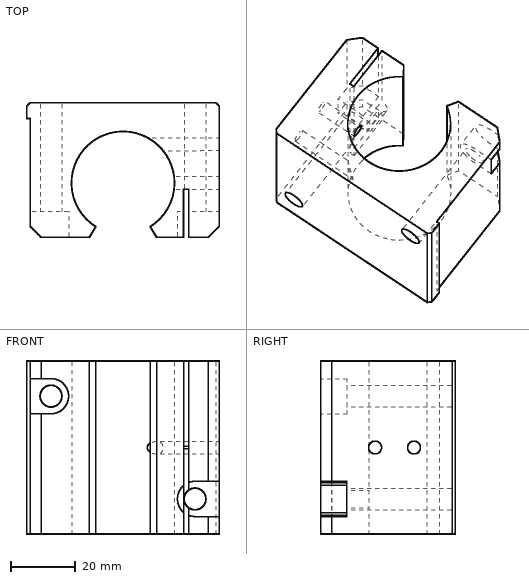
import cadquery as cq

width = 60.0
depth = 42.0
height = 54.0
mid_x = width / 2
mid_z = height / 2

ledge_step = 1.0
ledge_depth = 5.0
back_chamfer = 1.0
front_chamfer = 3.5

bore_radius = 16.0
bore_y = 17.0
mouth_half_width = 10.5

slot_width = 1.5
slot_depth = 15.0
slot_x = 49.7

hole_diameter = 6.7
recess_width = 11.0
recess_depth = 8.1
hole_offset_x = 22.45
hole_offset_z = 16.0

cross_hole_diameter = 4.0
cross_hole_spacing = 12.1
cross_hole_ys = (bore_y, bore_y + cross_hole_spacing)


def make_block():
    return (
        cq.Workplane("XY")
        .moveTo(ledge_step + front_chamfer, 0)
        .lineTo(width - front_chamfer, 0)
        .lineTo(width, front_chamfer)
        .lineTo(width, depth - back_chamfer)
        .lineTo(width - back_chamfer, depth)
        .lineTo(back_chamfer, depth)
        .lineTo(0, depth - back_chamfer)
        .lineTo(0, depth - ledge_depth)
        .lineTo(ledge_step, depth - ledge_depth)
        .lineTo(ledge_step, front_chamfer)
        .close()
        .extrude(height)
    )


def make_bore():
    bore = cq.Workplane("XY").center(mid_x, bore_y).circle(bore_radius).extrude(height)
    mouth = (
        cq.Workplane("XY")
        .moveTo(mid_x, bore_y)
        .lineTo(mid_x - mouth_half_width, 0)
        .lineTo(mid_x + mouth_half_width, 0)
        .close()
        .extrude(height)
    )
    return bore.union(mouth)


def make_slot():
    return (
        cq.Workplane("XY")
        .box(slot_width, slot_depth, height, centered=(True, False, False))
        .translate((slot_x, 0, 0))
    )


def make_mounting_hole(side):
    """Through hole along Y with a round-ended recess open to the side face (-1 left, +1 right)."""
    x = mid_x + side * hole_offset_x
    z = mid_z - side * hole_offset_z
    front = cq.Workplane("XZ").center(x, z)
    hole = front.circle(hole_diameter / 2).extrude(-depth)
    round_end = front.circle(recess_width / 2).extrude(-recess_depth)
    open_end = front.center(side * mid_x / 2, 0).rect(mid_x, recess_width).extrude(-recess_depth)
    return hole.union(round_end).union(open_end)


def make_cross_hole(y):
    return (
        cq.Workplane("YZ", origin=(mid_x, y, mid_z))
        .circle(cross_hole_diameter / 2)
        .extrude(width - mid_x)
    )


result = make_block().cut(make_bore()).cut(make_slot())
for side in (-1, 1):
    result = result.cut(make_mounting_hole(side))
for cross_hole_y in cross_hole_ys:
    result = result.cut(make_cross_hole(cross_hole_y))